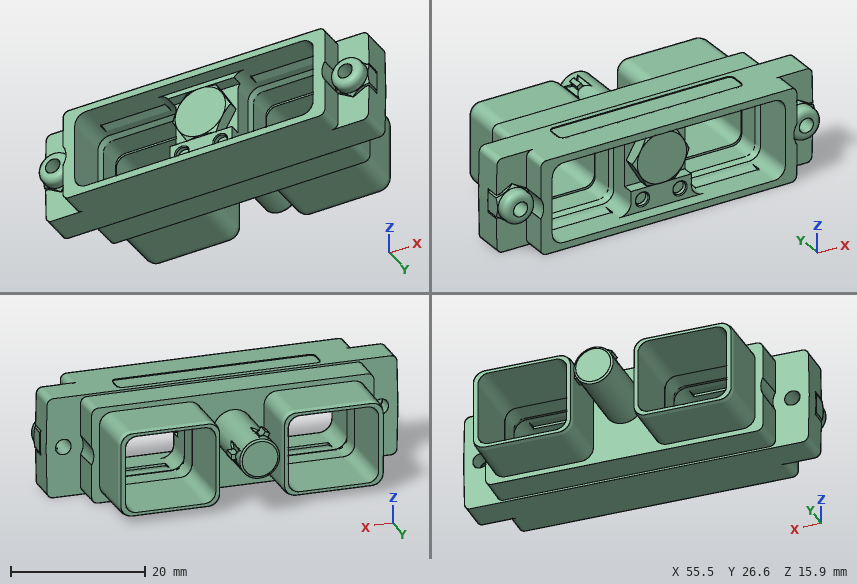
import cadquery as cq
import math


OVERLAP = 0.55

BODY_HALF_FRONT = 22.35
BODY_HALF_REAR = 22.2
BODY_REAR_Y = 14.05
BODY_HEIGHT = 15.25
CORNER_R = 1.0

PLATE_FRONT_Y = 4.05
PLATE_REAR_Y = 9.1
PLATE_HEIGHT = 15.95
PLATE_HALF_MID = 27.7
PLATE_HALF_END = 27.55

SLEEVE_INNER_X = 4.95
SLEEVE_OUTER_X_BASE = 21.0
SLEEVE_OUTER_X_TIP = 20.8
SLEEVE_HEIGHT = 13.55
SLEEVE_R = 2.0
SLEEVE_REAR_Y = 23.0
SLEEVE_BEVEL_LENGTH = 0.7
SLEEVE_BEVEL_DEPTH = 0.15

OPENING_X = 12.8
CAVITY_HALF = 20.35
CAVITY_HEIGHT = 13.55
CAVITY_DEPTH = 2.15
POCKET_WIDTH = 2 * (CAVITY_HALF - OPENING_X)
POCKET_TAPER_START = 7.1
POCKET_TAPER_LENGTH = 1.0
POCKET_STEP = 0.35
POCKET_DEPTH = 11.9
HOLE_WIDTH = 14.2
HOLE_HEIGHT = 12.2
HOLE_R = 1.8

LATCH_START = 4.2
LATCH_END = 6.0
LATCH_DEPTH = 0.4

RECESS_HALF_X = 5.8
RECESS_TOP_Z = 5.95
RECESS_BOTTOM_Z = -2.9
RECESS_FLOOR_Y = 4.0
PIN_HOLE_X = 3.3
PIN_HOLE_Z = -4.8
PIN_HOLE_D = 2.15
PIN_HOLE_RIM_D = 2.5
PIN_HOLE_DEPTH = 0.85

BOLT_Z = 1.5
BOLT_HEAD_FLATS = 8.6
BOLT_HEAD_FRONT_Y = 1.95
BOLT_CHAMFER_ANGLE = 30
SHAFT_D = 6.25
SHAFT_R = SHAFT_D / 2
SHAFT_REAR_Y = 26.65
SHAFT_BEVEL_LENGTH = 0.35
SHAFT_BEVEL_DEPTH = 0.15
TAB_ANGLES = (0, 120)
TAB_WIDTH = 0.85
TAB_RADIUS = 3.8
TAB_FRONT_Y = 22.55
TAB_REAR_Y = 24.6
RELIEF_FLOOR_R = 2.65
RELIEF_HALF_WIDTH = 1.35
RELIEF_WAIST = 0.55
RELIEF_FLARE = 0.95

BUSH_X = 25.0
BUSH_FLATS = 5.55
BUSH_HEAD_R = 2.7
BUSH_FRONT_Y = 1.5
BUSH_HEX_FRONT_Y = 3.5
BUSH_HEX_REAR_Y = 6.25
BUSH_ROUND = 1.0
BUSH_HOLE_D = 2.45
SLOT_WIDTH = 3.95
SLOT_REAR_Y = 6.45
SIDE_GROOVE_R = 3.1

LABEL_LENGTH = 31.95
LABEL_FRONT_Y = 4.65
LABEL_REAR_Y = 8.2
LABEL_R = 0.85
LABEL_DEPTH = 0.15


def front_plane(y, x=0.0, z=0.0):
    """Sketch plane at depth y whose extrusions run toward +Y."""
    return cq.Workplane(cq.Plane(origin=(x, y, z), xDir=(1, 0, 0), normal=(0, 1, 0)))


def rod(radius, y0, y1, x=0.0, z=0.0):
    """Solid cylinder along Y."""
    return front_plane(y0, x, z).circle(radius).extrude(y1 - y0)


def hex_bar(flats, y0, y1, x=0.0, z=0.0, upright=False):
    """Hexagonal bar along Y, with corners up and down when upright."""
    bar = front_plane(y0).polygon(6, flats / math.cos(math.pi / 6)).extrude(y1 - y0)
    if upright:
        bar = bar.rotate((0, 0, 0), (0, 1, 0), 90)
    return bar.translate((x, 0, z))


def rounded_bar(width, height, radius, y0, y1, x=0.0):
    """Rectangular bar along Y with rounded long edges."""
    bar = front_plane(y0, x).rect(width, height).extrude(y1 - y0)
    return bar.edges("|Y").fillet(radius)


def revolve_y(profile, x=0.0, z=0.0):
    """Turn a closed (radius, y) profile about an axis parallel to Y."""
    turned = cq.Workplane("XY").polyline(profile).close()
    return turned.revolve(360, (0, 0, 0), (0, 1, 0)).translate((x, 0, z))


def plan_bar(points, height, radius):
    """Extrude an XY outline evenly about Z = 0 and round its long edges."""
    bar = cq.Workplane("XY").polyline(points).close().extrude(height / 2, both=True)
    return bar.edges("not(|X or |Z)").fillet(radius)


def body():
    """Tapered rear body and full-height nose, hollowed beside each bushing."""
    main = plan_bar(
        [
            (-BODY_HALF_FRONT, PLATE_FRONT_Y),
            (BODY_HALF_FRONT, PLATE_FRONT_Y),
            (BODY_HALF_REAR, BODY_REAR_Y),
            (-BODY_HALF_REAR, BODY_REAR_Y),
        ],
        BODY_HEIGHT,
        CORNER_R,
    )
    nose = rounded_bar(2 * BODY_HALF_FRONT, PLATE_HEIGHT, CORNER_R, 0, PLATE_REAR_Y)
    shell = main.union(nose)
    for side in (-1, 1):
        shell = shell.cut(rod(SIDE_GROOVE_R, 0, BODY_REAR_Y, side * BUSH_X))
    return shell


def plate():
    """Flange with sides that swell slightly toward Z = 0 and a slot at each nut."""
    half_height = PLATE_HEIGHT / 2
    outline = [
        (-PLATE_HALF_END, -half_height),
        (PLATE_HALF_END, -half_height),
        (PLATE_HALF_MID, 0),
        (PLATE_HALF_END, half_height),
        (-PLATE_HALF_END, half_height),
        (-PLATE_HALF_MID, 0),
    ]
    slab = front_plane(PLATE_FRONT_Y).polyline(outline).close().extrude(PLATE_REAR_Y - PLATE_FRONT_Y)
    slab = slab.edges("|Y and (>Z or <Z)").fillet(CORNER_R)
    slot_length = PLATE_HALF_MID - BUSH_X + OVERLAP
    slot_depth = SLOT_REAR_Y - PLATE_FRONT_Y
    for side in (-1, 1):
        slot = cq.Workplane("XY").box(slot_length, slot_depth, SLOT_WIDTH)
        slot_x = side * (BUSH_X + slot_length / 2)
        slab = slab.cut(slot.translate((slot_x, PLATE_FRONT_Y + slot_depth / 2, 0)))
    return slab


def sleeve():
    """Right-hand sleeve with a beveled rear rim."""
    bar = plan_bar(
        [
            (SLEEVE_INNER_X, BODY_REAR_Y - OVERLAP),
            (SLEEVE_OUTER_X_BASE, BODY_REAR_Y - OVERLAP),
            (SLEEVE_OUTER_X_TIP, SLEEVE_REAR_Y),
            (SLEEVE_INNER_X, SLEEVE_REAR_Y),
        ],
        SLEEVE_HEIGHT,
        SLEEVE_R,
    )
    return bar.faces(">Y").chamfer(SLEEVE_BEVEL_LENGTH, SLEEVE_BEVEL_DEPTH)


def latch_grooves():
    """Wedge grooves in floor and roof, each steep in front and sloping out to the rear."""
    wall_z = CAVITY_HEIGHT / 2
    profile = [
        (LATCH_START, wall_z - OVERLAP),
        (LATCH_START, wall_z + LATCH_DEPTH),
        (LATCH_END, wall_z),
        (LATCH_END, wall_z - OVERLAP),
    ]
    half_length = POCKET_WIDTH / 2 - SLEEVE_R
    roof_groove = cq.Workplane("YZ", origin=(OPENING_X, 0, 0)).polyline(profile).close()
    roof_groove = roof_groove.extrude(half_length, both=True)
    return roof_groove.union(roof_groove.mirror("XY"))


def opening():
    """Right-hand pocket, its inward taper and the hole through the sleeve."""
    pocket = rounded_bar(POCKET_WIDTH, CAVITY_HEIGHT, SLEEVE_R, 0, POCKET_TAPER_START, OPENING_X)
    taper_angle = math.degrees(math.atan(POCKET_STEP / POCKET_TAPER_LENGTH))
    taper_end = POCKET_TAPER_START + POCKET_TAPER_LENGTH
    tapered = pocket.faces(">Y").wires().toPending().extrude(
        POCKET_TAPER_LENGTH, taper=taper_angle, combine=False
    )
    deep = rounded_bar(
        POCKET_WIDTH - 2 * POCKET_STEP,
        CAVITY_HEIGHT - 2 * POCKET_STEP,
        SLEEVE_R - POCKET_STEP,
        taper_end,
        POCKET_DEPTH,
        OPENING_X,
    )
    hole = rounded_bar(HOLE_WIDTH, HOLE_HEIGHT, HOLE_R, POCKET_DEPTH, SLEEVE_REAR_Y, OPENING_X)
    return pocket.union(tapered).union(deep).union(hole).union(latch_grooves())


def front_cavity():
    return rounded_bar(2 * CAVITY_HALF, CAVITY_HEIGHT, SLEEVE_R, 0, CAVITY_DEPTH)


def bolt_recess():
    return cq.Workplane("XY").box(
        2 * RECESS_HALF_X, RECESS_FLOOR_Y, RECESS_TOP_Z - RECESS_BOTTOM_Z, centered=(True, False, False)
    ).translate((0, 0, RECESS_BOTTOM_Z))


def pin_hole(x):
    """Blind hole with a 45 degree chamfered rim."""
    rim = (PIN_HOLE_RIM_D - PIN_HOLE_D) / 2
    end_y = CAVITY_DEPTH + PIN_HOLE_DEPTH
    profile = [
        (0, CAVITY_DEPTH),
        (PIN_HOLE_RIM_D / 2, CAVITY_DEPTH),
        (PIN_HOLE_D / 2, CAVITY_DEPTH + rim),
        (PIN_HOLE_D / 2, end_y),
        (0, end_y),
    ]
    return revolve_y(profile, x, PIN_HOLE_Z)


def bayonet(angle):
    """Tab on the shaft and the bow-tie relief around it, as (tab, relief)."""
    tab = cq.Workplane("XY").box(
        TAB_RADIUS, TAB_REAR_Y - TAB_FRONT_Y, TAB_WIDTH, centered=(False, False, True)
    ).translate((0, TAB_FRONT_Y, 0))
    relief = (
        cq.Workplane("YZ", origin=(RELIEF_FLOOR_R, 0, 0))
        .polyline(
            [
                (TAB_FRONT_Y - RELIEF_FLARE, -RELIEF_HALF_WIDTH),
                (TAB_REAR_Y + RELIEF_FLARE, -RELIEF_HALF_WIDTH),
                (TAB_REAR_Y, -RELIEF_WAIST),
                (TAB_REAR_Y, RELIEF_WAIST),
                (TAB_REAR_Y + RELIEF_FLARE, RELIEF_HALF_WIDTH),
                (TAB_FRONT_Y - RELIEF_FLARE, RELIEF_HALF_WIDTH),
                (TAB_FRONT_Y, RELIEF_WAIST),
                (TAB_FRONT_Y, -RELIEF_WAIST),
            ]
        )
        .close()
        .extrude(SHAFT_R - RELIEF_FLOOR_R)
    )
    return [item.rotate((0, 0, 0), (0, 1, 0), -angle).translate((0, 0, BOLT_Z)) for item in (tab, relief)]


def bolt():
    """Chamfered hexagon head, plain shaft and bayonet tabs."""
    head = hex_bar(BOLT_HEAD_FLATS, BOLT_HEAD_FRONT_Y, RECESS_FLOOR_Y, z=BOLT_Z)
    head_r = BOLT_HEAD_FLATS / 2
    cone_length = RECESS_FLOOR_Y - BOLT_HEAD_FRONT_Y
    cone_r = head_r + cone_length / math.tan(math.radians(BOLT_CHAMFER_ANGLE))
    cone = revolve_y(
        [(0, BOLT_HEAD_FRONT_Y), (head_r, BOLT_HEAD_FRONT_Y), (cone_r, RECESS_FLOOR_Y), (0, RECESS_FLOOR_Y)],
        z=BOLT_Z,
    )
    shaft = rod(SHAFT_R, RECESS_FLOOR_Y, SHAFT_REAR_Y, z=BOLT_Z)
    shaft = shaft.faces(">Y").chamfer(SHAFT_BEVEL_DEPTH, SHAFT_BEVEL_LENGTH)
    whole = head.intersect(cone).union(shaft)
    for angle in TAB_ANGLES:
        tab, relief = bayonet(angle)
        whole = whole.cut(relief).union(tab)
    return whole


def bushing(side):
    """Hexagonal nut body with a domed round head in front."""
    x = side * BUSH_X
    nut = hex_bar(BUSH_FLATS, BUSH_HEX_FRONT_Y, BUSH_HEX_REAR_Y, x, upright=True)
    cone_length = BUSH_HEX_REAR_Y - BUSH_HEX_FRONT_Y
    cone = revolve_y(
        [
            (0, BUSH_HEX_FRONT_Y),
            (BUSH_HEAD_R, BUSH_HEX_FRONT_Y),
            (BUSH_HEAD_R + cone_length, BUSH_HEX_REAR_Y),
            (0, BUSH_HEX_REAR_Y),
        ],
        x,
    )
    head = rod(BUSH_HEAD_R, BUSH_FRONT_Y, BUSH_HEX_FRONT_Y, x)
    head = head.faces("<Y").edges().fillet(BUSH_ROUND)
    return nut.intersect(cone).union(head)


def label_panel():
    length_y = LABEL_REAR_Y - LABEL_FRONT_Y
    panel = cq.Workplane("XY").box(LABEL_LENGTH, length_y, LABEL_DEPTH).edges("|Z").fillet(LABEL_R)
    return panel.translate((0, LABEL_FRONT_Y + length_y / 2, (PLATE_HEIGHT - LABEL_DEPTH) / 2))


housing = body().union(plate())
right_sleeve = sleeve()
housing = housing.union(right_sleeve).union(right_sleeve.mirror("YZ"))

right_opening = opening()
housing = housing.cut(front_cavity()).cut(right_opening).cut(right_opening.mirror("YZ"))
housing = housing.cut(bolt_recess()).cut(label_panel())

for side in (-1, 1):
    housing = housing.cut(pin_hole(side * PIN_HOLE_X))
    housing = housing.union(bushing(side))
    housing = housing.cut(rod(BUSH_HOLE_D / 2, BUSH_FRONT_Y, PLATE_REAR_Y, side * BUSH_X))

result = housing.union(bolt())